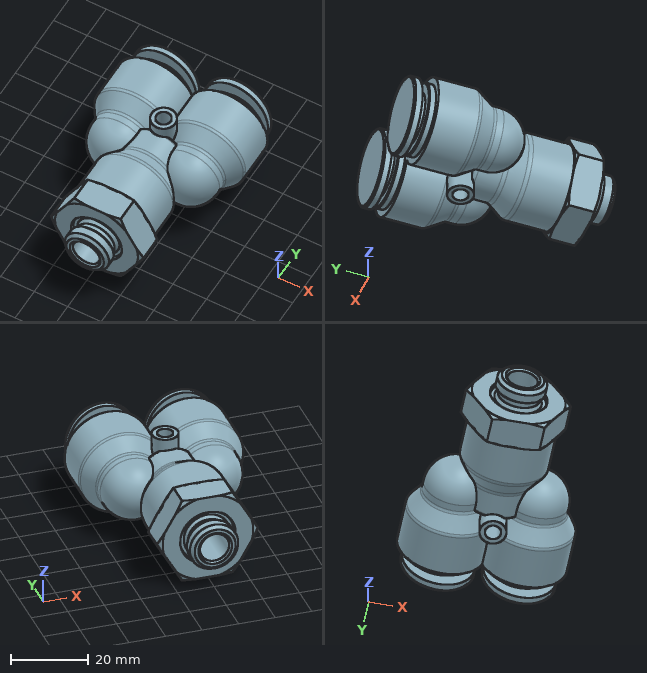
import cadquery as cq
import math


total_width = 45.0
total_length = 61.9
barrel_dia = 23.5
branch_offset = (total_width - barrel_dia) / 2

hex_across_flats = 24.0
hex_across_corners = hex_across_flats / math.cos(math.radians(30))
hex_start = 5.95
hex_end = 14.0
hex_face_dia = 24.75
hex_chamfer_angle = 20.0
thread_dia = 13.2
thread_end = 3.45
neck_dia = 11.2
tip_dia = neck_dia
tip_chamfer = (thread_dia - tip_dia) / 2
neck_start = 4.0
neck_end = 5.65
neck_base_dia = 12.55
recess_dia = 14.85
recess_rim_dia = 15.15
recess_depth = 1.0
bore_dia = 8.0
bore_rim_dia = 9.15

throat_dia = 17.1
stem_cone_start = 25.95
stem_cone_end = 30.95
stem_blend_radius = 2.1
stem_end = 39.0
stem_end_radius = 0.9
dome_center = 36.5
branch_cone_start = 38.95
branch_cone_end = 44.1
branch_blend_radius = 1.6
housing_end = 55.95
boss_dia = 7.0
boss_hole_dia = 4.2
boss_y = 41.0

collar_dia = 19.6
collar_end = 57.9
collar_chamfer = 0.25
button_neck_dia = 14.2
flange_start = 59.7
flange_width = 19.5
flange_height = 22.65
flange_chamfer = 0.45

edge_tolerance = 0.005


def revolve_about_y(profile):
    """Full turn of a closed (radius, Y) profile around the Y axis."""
    return profile.close().revolve(360, (0, 0, 0), (0, 1, 0))


def disc_along_y(diameter, start, end):
    return cq.Workplane("XZ", origin=(0, start, 0)).circle(diameter / 2).extrude(start - end)


def fillet_circle(body, radius, y):
    """Round the circular edge of a turned body that lies in the plane at y."""
    low_corner = (-total_width, y - edge_tolerance, -total_width)
    high_corner = (total_width, y + edge_tolerance, total_width)
    return body.edges(cq.selectors.BoxSelector(low_corner, high_corner)).fillet(radius)


def make_stem():
    """Barrel that tapers into the throat between the two branches."""
    stem = revolve_about_y(
        cq.Workplane("XY")
        .moveTo(0, hex_end)
        .lineTo(barrel_dia / 2, hex_end)
        .lineTo(barrel_dia / 2, stem_cone_start)
        .lineTo(throat_dia / 2, stem_cone_end)
        .lineTo(throat_dia / 2, stem_end)
        .lineTo(0, stem_end)
    )
    stem = fillet_circle(stem, stem_blend_radius, stem_cone_start)
    stem = fillet_circle(stem, stem_blend_radius, stem_cone_end)
    return fillet_circle(stem, stem_end_radius, stem_end)


def make_branch():
    """Socket barrel that tapers to a throat closed by a hemisphere."""
    throat_radius = throat_dia / 2
    diagonal = throat_radius * math.sqrt(0.5)
    branch = revolve_about_y(
        cq.Workplane("XY")
        .moveTo(0, dome_center - throat_radius)
        .threePointArc((diagonal, dome_center - diagonal), (throat_radius, dome_center))
        .lineTo(throat_radius, branch_cone_start)
        .lineTo(barrel_dia / 2, branch_cone_end)
        .lineTo(barrel_dia / 2, housing_end)
        .lineTo(0, housing_end)
    )
    branch = fillet_circle(branch, branch_blend_radius, branch_cone_start)
    return fillet_circle(branch, branch_blend_radius, branch_cone_end)


def make_housing():
    """Stem and two branches in one piece, with a drilled mounting boss between the branches."""
    housing = make_stem()
    for side in (-1, 1):
        housing = housing.union(make_branch().translate((side * branch_offset, 0, 0)))
    boss_plane = cq.Workplane("XY", origin=(0, boss_y, -barrel_dia / 2))
    boss = boss_plane.circle(boss_dia / 2).extrude(barrel_dia)
    boss_hole = boss_plane.circle(boss_hole_dia / 2).extrude(barrel_dia)
    return housing.union(boss).cut(boss_hole)


def make_hexagon():
    """Hexagon with corners on the X axis, chamfered by a cone at both ends."""
    hexagon = (
        cq.Workplane("XZ", origin=(0, hex_start, 0))
        .polygon(6, hex_across_corners)
        .extrude(hex_start - hex_end)
    )
    corner_radius = hex_across_corners / 2
    face_radius = hex_face_dia / 2
    chamfer_length = (corner_radius - face_radius) * math.tan(math.radians(hex_chamfer_angle))
    turned_blank = revolve_about_y(
        cq.Workplane("XY")
        .moveTo(0, hex_start)
        .lineTo(face_radius, hex_start)
        .lineTo(corner_radius, hex_start + chamfer_length)
        .lineTo(corner_radius, hex_end - chamfer_length)
        .lineTo(face_radius, hex_end)
        .lineTo(0, hex_end)
    )
    return hexagon.intersect(turned_blank)


def make_stud():
    """Hexagon with a bored threaded end whose neck flares into a shallow recess."""
    recess_floor = hex_start + recess_depth
    recess = revolve_about_y(
        cq.Workplane("XY")
        .moveTo(0, hex_start)
        .lineTo(recess_rim_dia / 2, hex_start)
        .lineTo(recess_dia / 2, recess_floor)
        .lineTo(0, recess_floor)
    )
    spigot = revolve_about_y(
        cq.Workplane("XY")
        .lineTo(tip_dia / 2, 0)
        .lineTo(thread_dia / 2, tip_chamfer)
        .lineTo(thread_dia / 2, thread_end)
        .lineTo(neck_dia / 2, neck_start)
        .lineTo(neck_dia / 2, neck_end)
        .lineTo(neck_base_dia / 2, recess_floor)
        .lineTo(neck_base_dia / 2, hex_end)
        .lineTo(0, hex_end)
    )
    bore_chamfer = (bore_rim_dia - bore_dia) / 2
    bore = revolve_about_y(
        cq.Workplane("XY")
        .lineTo(bore_rim_dia / 2, 0)
        .lineTo(bore_dia / 2, bore_chamfer)
        .lineTo(bore_dia / 2, hex_end)
        .lineTo(0, hex_end)
    )
    return make_hexagon().cut(recess).union(spigot).cut(bore)


def make_collar():
    """Round ring face between a branch and its release button."""
    return disc_along_y(collar_dia, housing_end, collar_end).faces(">Y").chamfer(collar_chamfer)


def make_button():
    """Release button: round neck under an oval flange that is taller than wide."""
    neck = disc_along_y(button_neck_dia, collar_end, flange_start)
    flange = (
        cq.Workplane("XZ", origin=(0, flange_start, 0))
        .ellipse(flange_width / 2, flange_height / 2)
        .extrude(flange_start - total_length)
        .faces(">Y")
        .chamfer(flange_chamfer)
    )
    return neck.union(flange)


housing = make_housing()
stud = make_stud()
collars = []
buttons = []
for side in (-1, 1):
    branch_shift = (side * branch_offset, 0, 0)
    collars.append(make_collar().translate(branch_shift).val())
    buttons.append(make_button().translate(branch_shift).val())

result = cq.Compound.makeCompound([housing.val(), stud.val(), *collars, *buttons])